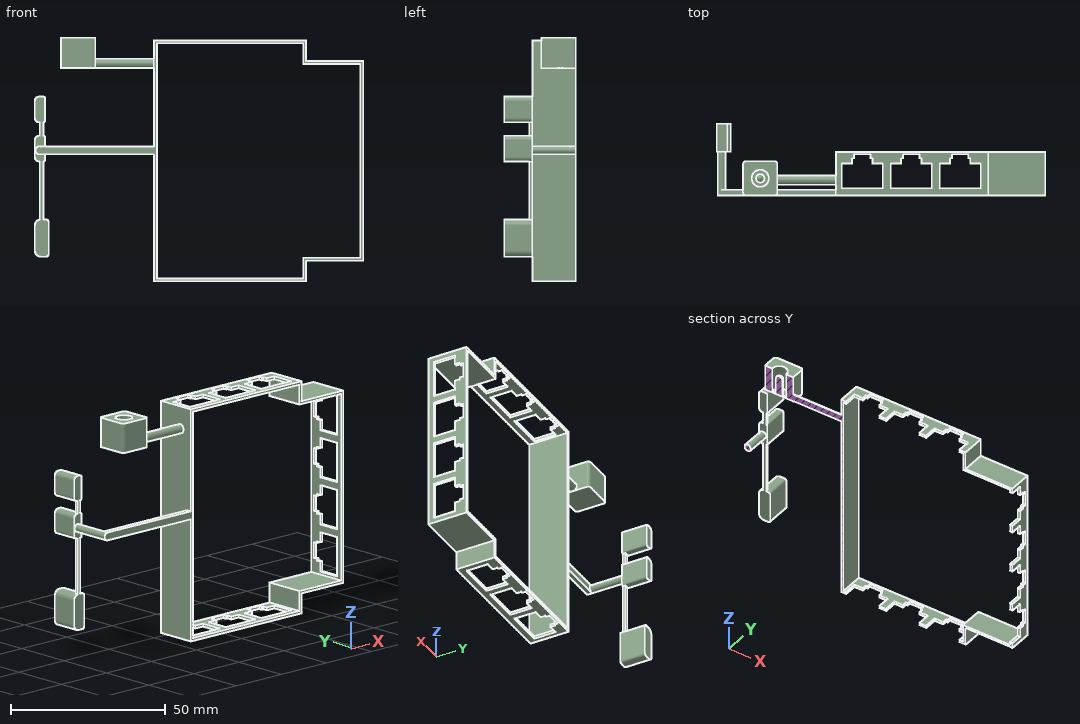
import cadquery as cq

OVERLAP = 0.2

WALL = 1.0
FRAME_DEPTH = 14.1
FRAME_HEIGHT = 78.1
FRAME_LEFT = 38.6
FRAME_RIGHT = 106.3
STEP_X = 87.8
STEP_HEIGHT = 6.7
MID_Z = FRAME_HEIGHT / 2

WINDOW_PITCH = 15.8
WINDOW_WIDTH = 13.2
WINDOW_BASE = 2.4
SHOULDER_WIDTH = 6.5
NOTCH_WIDTH = 5.2
SHOULDER_Y = 10.3
NOTCH_Y = 12.0
WINDOW_TOP = 13.3
TOP_WINDOW_COUNT = 3
SIDE_WINDOW_COUNT = 4
TOP_WINDOW_CENTER_X = 63.0
SIDE_WINDOW_DROP = 0.4

BLOCK_WIDTH = 11.2
BLOCK_HEIGHT = 9.9
BLOCK_LEFT = 8.5
BLOCK_TOP = 78.9
BLOCK_CORNER = 1.0
BORE_DIAMETER = 5.5
BORE_DEPTH = 9.0
PIN_DIAMETER = 2.8
PIN_HEIGHT = 7.0
ROD_DIAMETER = 3.1
ROD_Y = 5.0

BAR_WIDTH = 2.7
ARM_DEPTH = 1.9
ARM_Z = 42.4
POST_X = 1.6

PAD_BACK = 23.3
STRIP_LEFT = 1.6
STRIP_RIGHT = 2.9
STRIP_DEPTH = 1.0
SMALL_PAD_WIDTH = 3.4
SMALL_PAD_HEIGHT = 8.4
LARGE_PAD_WIDTH = 4.6
LARGE_PAD_HEIGHT = 12.1
LARGE_PAD_BOTTOM = 8.0
MIDDLE_PAD_BOTTOM = 38.8
UPPER_PAD_BOTTOM = 51.5
SMALL_PAD_ROUND = 1.5
SMALL_PAD_EASE = 0.6
LARGE_PAD_ROUND = 2.0
LARGE_PAD_EASE = 1.0


def block(x_range, y_range, z_range):
    """Box spanning the given (low, high) ranges."""
    size = [high - low for low, high in (x_range, y_range, z_range)]
    return cq.Workplane("XY").box(*size, centered=False).translate((x_range[0], y_range[0], z_range[0]))


def frame_outline(inset):
    """Stepped outline in XZ, moved inward by inset and extruded along the depth."""
    left = FRAME_LEFT + inset
    step = STEP_X - inset
    right = FRAME_RIGHT - inset
    low = inset
    high = FRAME_HEIGHT - inset
    points = [
        (left, low),
        (step, low),
        (step, low + STEP_HEIGHT),
        (right, low + STEP_HEIGHT),
        (right, high - STEP_HEIGHT),
        (step, high - STEP_HEIGHT),
        (step, high),
        (left, high),
    ]
    return cq.Workplane("XZ").polyline(points).close().extrude(-FRAME_DEPTH)


def window_profile(plane):
    """Keystone profile centred on the plane's local x, with local y along the depth."""
    half_right = [
        (WINDOW_WIDTH / 2, WINDOW_BASE),
        (WINDOW_WIDTH / 2, SHOULDER_Y),
        (SHOULDER_WIDTH / 2, SHOULDER_Y),
        (SHOULDER_WIDTH / 2, NOTCH_Y),
        (NOTCH_WIDTH / 2, NOTCH_Y),
        (NOTCH_WIDTH / 2, WINDOW_TOP),
    ]
    half_left = [(-x, y) for x, y in reversed(half_right)]
    return cq.Workplane(plane).polyline(half_right + half_left).close()


def row_centers(middle, count):
    """Evenly pitched window centres about a middle position."""
    return [middle + (i - (count - 1) / 2) * WINDOW_PITCH for i in range(count)]


def make_frame():
    frame = frame_outline(0).cut(frame_outline(WALL))
    for x in row_centers(TOP_WINDOW_CENTER_X, TOP_WINDOW_COUNT):
        frame = frame.cut(window_profile(cq.Plane((x, 0, 0))).extrude(FRAME_HEIGHT))
    for z in row_centers(MID_Z, SIDE_WINDOW_COUNT):
        plane = cq.Plane((FRAME_RIGHT, -SIDE_WINDOW_DROP, z), xDir=(0, 0, 1), normal=(-1, 0, 0))
        frame = frame.cut(window_profile(plane).extrude(WALL))
    return frame


def make_socket():
    bottom = BLOCK_TOP - BLOCK_HEIGHT
    center_x = BLOCK_LEFT + BLOCK_WIDTH / 2
    center_y = BLOCK_WIDTH / 2
    body = block((BLOCK_LEFT, BLOCK_LEFT + BLOCK_WIDTH), (0, BLOCK_WIDTH), (bottom, BLOCK_TOP))
    body = body.edges("|Z").fillet(BLOCK_CORNER)
    bore_floor = cq.Workplane("XY", origin=(center_x, center_y, BLOCK_TOP - BORE_DEPTH))
    pin_radius = PIN_DIAMETER / 2
    pin = bore_floor.circle(pin_radius).extrude(PIN_HEIGHT - pin_radius)
    tip = cq.Workplane("XY").sphere(pin_radius)
    tip = tip.translate((center_x, center_y, BLOCK_TOP - BORE_DEPTH + PIN_HEIGHT - pin_radius))
    body = body.cut(bore_floor.circle(BORE_DIAMETER / 2).extrude(BORE_DEPTH)).union(pin).union(tip)

    rod_start = BLOCK_LEFT + BLOCK_WIDTH - OVERLAP
    rod_plane = cq.Workplane("YZ", origin=(rod_start, ROD_Y, bottom + ROD_DIAMETER / 2))
    rod = rod_plane.circle(ROD_DIAMETER / 2).extrude(FRAME_LEFT + OVERLAP - rod_start)
    return body.union(rod)


def make_arm():
    z_range = (ARM_Z - BAR_WIDTH / 2, ARM_Z + BAR_WIDTH / 2)
    arm = block((POST_X, FRAME_LEFT + OVERLAP), (0, ARM_DEPTH), z_range)
    post = cq.Workplane("XZ", origin=(POST_X, 0, ARM_Z)).circle(BAR_WIDTH / 2)
    return arm.union(post.extrude(-(FRAME_DEPTH + OVERLAP)))


def make_pad(width, bottom, height, left_round, right_round):
    pad = block((0, width), (FRAME_DEPTH, PAD_BACK), (bottom, bottom + height))
    pad = pad.edges("|Y and <X").fillet(left_round)
    return pad.edges("|Y and >X").fillet(right_round)


def make_pads():
    strip_z = (LARGE_PAD_BOTTOM + LARGE_PAD_HEIGHT / 2, UPPER_PAD_BOTTOM + SMALL_PAD_HEIGHT / 2)
    pads = block((STRIP_LEFT, STRIP_RIGHT), (FRAME_DEPTH, FRAME_DEPTH + STRIP_DEPTH), strip_z)
    for bottom in (MIDDLE_PAD_BOTTOM, UPPER_PAD_BOTTOM):
        pads = pads.union(
            make_pad(SMALL_PAD_WIDTH, bottom, SMALL_PAD_HEIGHT, SMALL_PAD_ROUND, SMALL_PAD_EASE)
        )
    large_pad = make_pad(
        LARGE_PAD_WIDTH, LARGE_PAD_BOTTOM, LARGE_PAD_HEIGHT, LARGE_PAD_ROUND, LARGE_PAD_EASE
    )
    return pads.union(large_pad)


result = make_frame().union(make_socket()).union(make_arm()).union(make_pads())